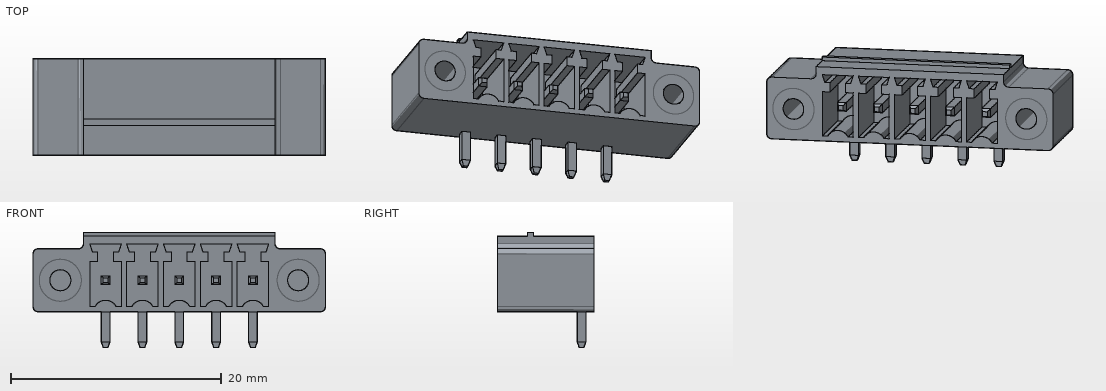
import cadquery as cq

body_length = 27.8
body_depth = 9.2
ear_height = 6.0
crown_length = 18.2
crown_height = 7.2
corner_radius = 0.5
seat_z = 0.0

rib_height = 0.35
rib_width = 0.6
rib_setback = 2.85

bushing_diameter = 4.0
mount_hole_diameter = 2.0
mount_hole_pitch = 22.6
mount_hole_depth = 7.2

contact_count = 5
contact_pitch = 3.5
contact_z = 3.0
contact_width = 0.85
contact_tip_width = 0.45
contact_tip_length = 0.55
contact_setback = 1.4
tail_length = 3.4
tail_from_back = 1.2

pocket_depth = 7.2
pocket_half_width = 1.5
pocket_floor_z = 0.5
pocket_top_z = 6.45
ledge_bottom_z = 4.8
ledge_top_z = 5.7
ledge_gap_half_width = 0.75
dovetail_half_width = 1.25
hump_half_width = 1.0
hump_height = 0.6

front_y = -body_depth / 2
back_y = body_depth / 2
tail_y = back_y - tail_from_back
contact_positions = [
    (i - (contact_count - 1) / 2) * contact_pitch for i in range(contact_count)
]


def front_plane():
    """XZ plane on the front face; extruding by a negative length goes inward (+Y)."""
    return cq.Workplane("XZ", origin=(0, front_y, 0))


def make_housing():
    """Wide ears and raised crown, with the long edges up to ear height rounded."""
    half_body = body_length / 2
    half_crown = crown_length / 2
    housing = (
        front_plane()
        .moveTo(-half_body, seat_z)
        .lineTo(half_body, seat_z)
        .lineTo(half_body, ear_height)
        .lineTo(half_crown, ear_height)
        .lineTo(half_crown, crown_height)
        .lineTo(-half_crown, crown_height)
        .lineTo(-half_crown, ear_height)
        .lineTo(-half_body, ear_height)
        .close()
        .extrude(-body_depth)
    )
    below_crown_top = cq.selectors.BoxSelector(
        (-body_length, -body_depth, seat_z - corner_radius),
        (body_length, body_depth, ear_height + corner_radius),
    )
    return housing.edges("|Y").edges(below_crown_top).fillet(corner_radius)


def make_rib():
    """Low rib along the full length of the crown."""
    return cq.Workplane("XY").box(
        crown_length, rib_width, rib_height, centered=(True, False, False)
    ).translate((0, front_y + rib_setback, crown_height))


def make_mount_cylinders(diameter):
    """One cylinder per ear, reaching inward from the front face on the mounting axes."""
    half_pitch = mount_hole_pitch / 2
    return (
        front_plane()
        .pushPoints([(-half_pitch, contact_z), (half_pitch, contact_z)])
        .circle(diameter / 2)
        .extrude(-mount_hole_depth)
    )


def fit_bushings(housing):
    """Fuse the bushings in flush, keeping their round seams on the front face."""
    seats = make_mount_cylinders(bushing_diameter)
    bushings = seats.cut(make_mount_cylinders(mount_hole_diameter))
    return housing.cut(seats).union(bushings, clean=False)


def make_pocket(x):
    """Plug pocket with a humped floor and a dovetail keyway above two ledges."""
    return (
        front_plane()
        .center(x, 0)
        .moveTo(-pocket_half_width, pocket_floor_z)
        .lineTo(-hump_half_width, pocket_floor_z)
        .threePointArc((0, pocket_floor_z + hump_height), (hump_half_width, pocket_floor_z))
        .lineTo(pocket_half_width, pocket_floor_z)
        .lineTo(pocket_half_width, ledge_bottom_z)
        .lineTo(ledge_gap_half_width, ledge_bottom_z)
        .lineTo(ledge_gap_half_width, ledge_top_z)
        .lineTo(dovetail_half_width, ledge_top_z)
        .lineTo(pocket_half_width, pocket_top_z)
        .lineTo(-pocket_half_width, pocket_top_z)
        .lineTo(-dovetail_half_width, ledge_top_z)
        .lineTo(-ledge_gap_half_width, ledge_top_z)
        .lineTo(-ledge_gap_half_width, ledge_bottom_z)
        .lineTo(-pocket_half_width, ledge_bottom_z)
        .close()
        .extrude(-pocket_depth)
    )


def make_square_pin(base_plane, length):
    """Square pin of the given length whose end narrows to a smaller square."""
    shaft_length = length - contact_tip_length
    shaft = cq.Workplane(base_plane).rect(contact_width, contact_width).extrude(shaft_length)
    tip = (
        shaft.faces(cq.DirectionMinMaxSelector(base_plane.zDir, True))
        .workplane()
        .rect(contact_width, contact_width)
        .workplane(offset=contact_tip_length)
        .rect(contact_tip_width, contact_tip_width)
        .loft(combine=False)
    )
    return shaft.union(tip)


def make_contact(x):
    """Right-angle contact: a blade pointing forward and a solder tail pointing down."""
    corner = (x, tail_y, contact_z)
    blade_plane = cq.Plane(origin=corner, xDir=(1, 0, 0), normal=(0, -1, 0))
    tail_plane = cq.Plane(origin=corner, xDir=(1, 0, 0), normal=(0, 0, -1))
    blade_length = tail_y - front_y - contact_setback
    blade = make_square_pin(blade_plane, blade_length)
    tail = make_square_pin(tail_plane, contact_z - seat_z + tail_length)
    return blade.union(tail)


result = make_housing().union(make_rib())
for contact_x in contact_positions:
    result = result.cut(make_pocket(contact_x))
    result = result.union(make_contact(contact_x))

result = fit_bushings(result)